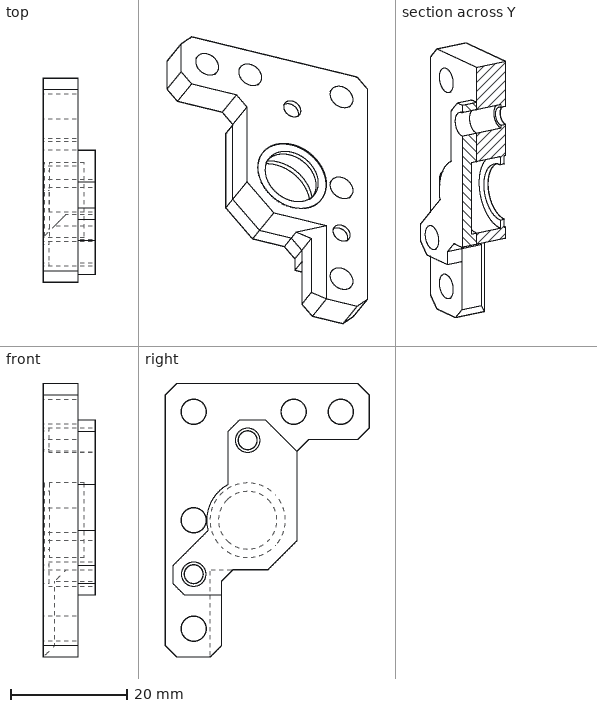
import cadquery as cq
import math

plate_thickness = 6.05
plate_width = 35.1
plate_height = 47.1
cover_thickness = 2.95

corner_chamfer = 2.0
arm_height = 9.7
leg_width = arm_height
body_width = 22.7
body_bottom = plate_height - 32.08
body_corner_cut = 5.05
bevel_front_width = leg_width - corner_chamfer

bore_y = 14.2
bore_z = 23.55
bore_center = [(bore_y, bore_z)]
lip_diameter = 10.0
pocket_diameter = 12.9
front_recess_depth = 0.25
lip_back = 1.15
cover_pocket_depth = 1.0

mount_diameter = 4.3
screw_diameter = 3.2
screw_counterbore_diameter = 4.2
screw_lip_depth = 1.0
hole_inset = 4.9
mount_points = [
    (plate_width - hole_inset, plate_height - hole_inset),
    (22.1, plate_height - hole_inset),
    (hole_inset, plate_height - hole_inset),
    (hole_inset, bore_z),
    (hole_inset, hole_inset),
]
foot_z = 14.25
screw_points = [(bore_y, 37.3), (hole_inset, foot_z)]

cover_top = 40.8
cover_bottom = 10.7
cover_inset = 1.3
tab_inner_y = 10.8
tab_flat_end = 17.25
foot_flat_top = 15.75
boss_radius = 7.0


def cylinders(points, diameter, start, end):
    """Cutting cylinders along +X between two depths behind the front face."""
    depth = end - start
    return cq.Workplane("YZ", origin=(start, 0, 0)).pushPoints(points).circle(diameter / 2).extrude(depth)


def make_leg_bevel():
    """45-degree wedge removed from the front inner edge of the leg."""
    wedge_end = bevel_front_width + plate_thickness
    return (
        cq.Workplane("XY")
        .moveTo(0, bevel_front_width)
        .lineTo(plate_thickness, wedge_end)
        .lineTo(0, wedge_end)
        .close()
        .extrude(body_bottom)
    )


def make_plate():
    c = corner_chamfer
    arm_bottom = plate_height - arm_height
    outline = [
        (c, 0),
        (leg_width - c, 0),
        (leg_width, c),
        (leg_width, body_bottom - c),
        (leg_width + c, body_bottom),
        (body_width - body_corner_cut, body_bottom),
        (body_width, body_bottom + body_corner_cut),
        (body_width, arm_bottom - c),
        (body_width + c, arm_bottom),
        (plate_width - c, arm_bottom),
        (plate_width, arm_bottom + c),
        (plate_width, plate_height - c),
        (plate_width - c, plate_height),
        (c, plate_height),
        (0, plate_height - c),
        (0, c),
    ]
    plate = cq.Workplane("YZ").polyline(outline).close().extrude(plate_thickness)
    plate = plate.cut(make_leg_bevel())
    plate = plate.cut(cylinders(mount_points, mount_diameter, 0, plate_thickness))
    plate = plate.cut(cylinders(screw_points, screw_diameter, 0, screw_lip_depth))
    plate = plate.cut(cylinders(screw_points, screw_counterbore_diameter, screw_lip_depth, plate_thickness))
    plate = plate.cut(cylinders(bore_center, pocket_diameter, 0, front_recess_depth))
    plate = plate.cut(cylinders(bore_center, lip_diameter, 0, lip_back))
    return plate.cut(cylinders(bore_center, pocket_diameter, lip_back, plate_thickness))


def make_cover():
    c = corner_chamfer
    tab_arc_z = bore_z + math.sqrt(boss_radius**2 - (bore_y - tab_inner_y) ** 2)
    slope_y = cover_inset - bore_y
    slope_z = foot_flat_top - bore_z
    mean = (slope_y + slope_z) / 2
    slope_run = -mean - math.sqrt(mean**2 - (slope_y**2 + slope_z**2 - boss_radius**2) / 2)
    arc_end_y = cover_inset + slope_run
    arc_end_z = foot_flat_top + slope_run
    cover = (
        cq.Workplane("YZ", origin=(plate_thickness, 0, 0))
        .moveTo(tab_inner_y, tab_arc_z)
        .threePointArc((bore_y - boss_radius, bore_z), (arc_end_y, arc_end_z))
        .lineTo(cover_inset, foot_flat_top)
        .lineTo(cover_inset, cover_bottom + c)
        .lineTo(cover_inset + c, cover_bottom)
        .lineTo(leg_width, cover_bottom)
        .lineTo(leg_width, body_bottom - c)
        .lineTo(leg_width + c, body_bottom)
        .lineTo(body_width - body_corner_cut, body_bottom)
        .lineTo(body_width, body_bottom + body_corner_cut)
        .lineTo(body_width, cover_top - (body_width - tab_flat_end))
        .lineTo(tab_flat_end, cover_top)
        .lineTo(tab_inner_y + c, cover_top)
        .lineTo(tab_inner_y, cover_top - c)
        .close()
        .extrude(cover_thickness)
    )
    cover_back = plate_thickness + cover_thickness
    pocket_floor = plate_thickness + cover_pocket_depth
    cover = cover.cut(cylinders(screw_points, screw_counterbore_diameter, plate_thickness, cover_back))
    return cover.cut(cylinders(bore_center, pocket_diameter, plate_thickness, pocket_floor))


plate = make_plate()
cover = make_cover()
result = cq.Compound.makeCompound([plate.val(), cover.val()])